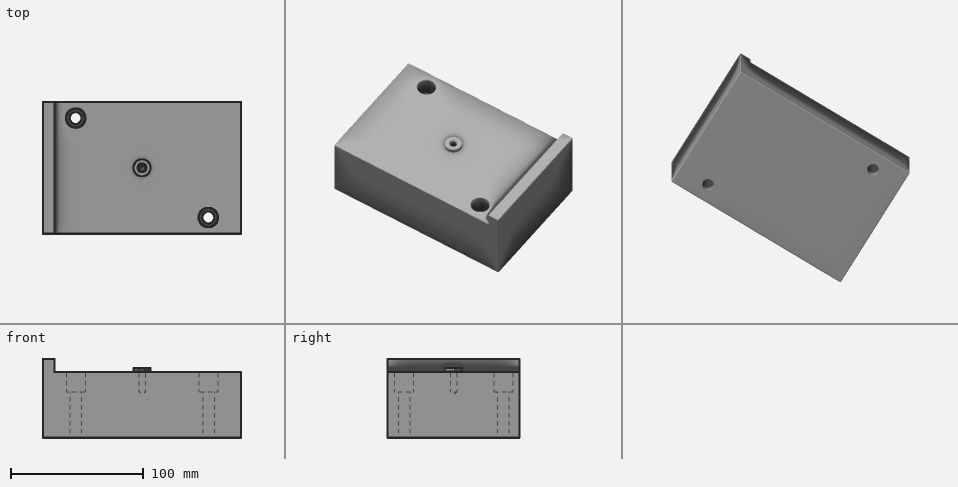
import cadquery as cq
import math

length = 150.0
width = length * 2 / 3
height = 60.0
lip_width = 9.3
lip_height = length / 15
deck_z = height - lip_height
edge_break = 0.5

boss_diameter = 13.0
boss_height = 3.0
boss_edge_break = 0.22
boss_hole_diameter = 5.1
boss_hole_mouth = 6.9
boss_hole_depth = 18.0
drill_point_angle = 118.0

hole_diameter = 8.7
counterbore_diameter = 14.1
counterbore_mouth = counterbore_diameter + 2 * edge_break
counterbore_depth = 15.0
hole_x = length / 3
hole_y = width * 3 / 8


def cone(large_diameter, small_diameter, top_z, depth):
    """Vertical cone about the Z axis, narrowing downwards from top_z."""
    solid = cq.Solid.makeCone(
        large_diameter / 2, small_diameter / 2, depth,
        pnt=cq.Vector(0, 0, top_z), dir=cq.Vector(0, 0, -1),
    )
    return cq.Workplane(obj=solid)


def cylinder(diameter, bottom_z, top_z):
    """Vertical cylinder about the Z axis."""
    return cq.Workplane().workplane(offset=bottom_z).circle(diameter / 2).extrude(top_z - bottom_z)


def make_block():
    left = -length / 2
    right = length / 2
    lip_x = left + lip_width
    block = (
        cq.Workplane("XZ")
        .polyline([(left, 0), (right, 0), (right, deck_z), (lip_x, deck_z), (lip_x, height), (left, height)])
        .close()
        .extrude(width / 2, both=True)
    )
    inside_corner = cq.selectors.NearestToPointSelector((lip_x, 0, deck_z))
    return block.edges(cq.selectors.InverseSelector(inside_corner)).chamfer(edge_break)


def make_boss():
    boss = cylinder(boss_diameter, deck_z, deck_z + boss_height)
    return boss.faces(">Z").edges().chamfer(boss_edge_break)


def make_boss_hole():
    top_z = deck_z + boss_height
    bottom_z = top_z - boss_hole_depth
    mouth_depth = (boss_hole_mouth - boss_hole_diameter) / 2
    point_depth = boss_hole_diameter / 2 / math.tan(math.radians(drill_point_angle / 2))
    bore = cylinder(boss_hole_diameter, bottom_z, top_z)
    mouth = cone(boss_hole_mouth, boss_hole_diameter, top_z, mouth_depth)
    point = cone(boss_hole_diameter, 0, bottom_z, point_depth)
    return bore.union(mouth).union(point)


def make_counterbored_hole():
    bore = cylinder(hole_diameter, 0, deck_z)
    counterbore = cylinder(counterbore_diameter, deck_z - counterbore_depth, deck_z)
    mouth = cone(counterbore_mouth, counterbore_diameter, deck_z, edge_break)
    return bore.union(counterbore).union(mouth)


result = make_block().union(make_boss()).cut(make_boss_hole())
for side in (-1, 1):
    result = result.cut(make_counterbored_hole().translate((side * hole_x, -side * hole_y, 0)))